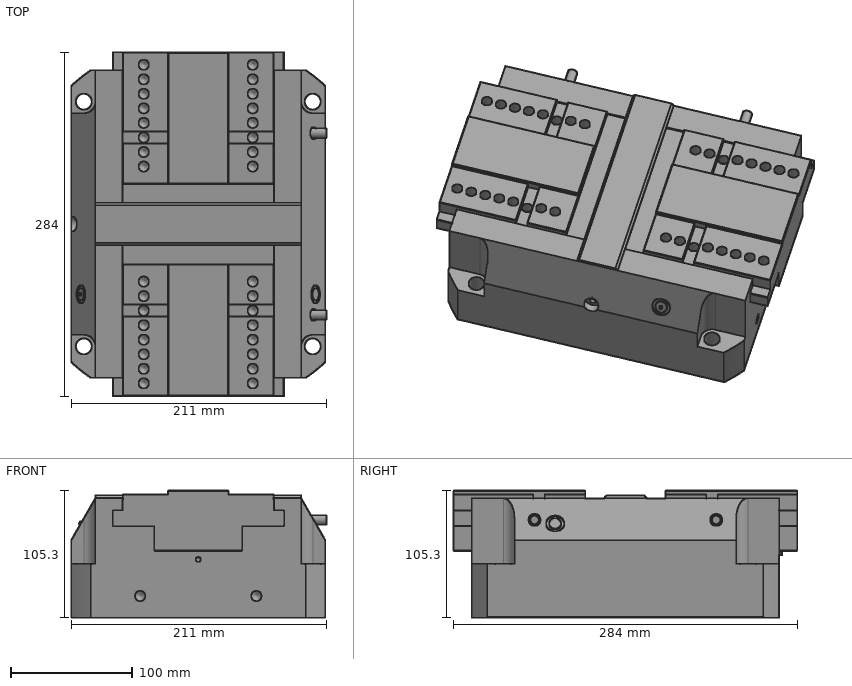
import cadquery as cq
import math


BODY_HALF_X = 105.0
BODY_HALF_Y = 127.0
TOP_HALF_X = 85.0
CORNER_RADIUS = 155.0
SLOPE_BOTTOM = 64.0
SLOPE_ANGLE = 30.0
SLOPE = math.radians(SLOPE_ANGLE)
BODY_TOP = SLOPE_BOTTOM + (BODY_HALF_X - TOP_HALF_X) / math.tan(SLOPE)
BASE_CHAMFER = 0.8
OVERSHOOT = 10.0

SHELF_TOP = 44.6
MOUNT_X = 94.5
MOUNT_Y = 101.0
MOUNT_DIA = 13.0
SHELF_CLEARANCE_RADIUS = MOUNT_X - TOP_HALF_X

BAR_TOP = 101.2
BAR_HALF_WIDTH = 17.5
BAR_BEVEL = 2.0

JAW_INNER_Y = 33.0
JAW_OUTER_Y = 142.0
JAW_LENGTH = JAW_OUTER_Y - JAW_INNER_Y
JAW_TOP = 102.2
JAW_BOTTOM = 55.0
NECK_HALF = 62.3
FLANGE_HALF = 70.8
FLANGE_TOP = 88.7
FLANGE_BOTTOM = 75.6
STEM_HALF = 36.2
JAW_CHAMFER = 0.5
JAW_BOTTOM_CHAMFER = 0.8
SLIDE_GAP = 0.5

STRIP_HALF = 25.0
STRIP_TOP = 105.3
STRIP_BOTTOM = 96.5
STRIP_CHAMFER = 0.8

FLOOR = 97.8

ROW_X = 45.0
ROW_FIRST_Y = 47.5
ROW_PITCH = 12.0
ROW_COUNT = 8
NOTCH_Y = ROW_FIRST_Y + 2 * ROW_PITCH
NOTCH_WIDTH = 9.5
TAP_DIA = 8.5
TAP_DEPTH = 16.0
DRILL_POINT_ANGLE = 118.0

FRONT_TAP_X = 48.0
FRONT_TAP_Z = 18.0
FRONT_PORT_Z = 48.2
FRONT_PORT_DIA = 4.2
FRONT_PORT_DEPTH = 10.0

SIDE_PORT_Z = 66.2
SIDE_PORT_DIA = 12.0
SIDE_PORT_DEPTH = 6.0
SIDE_PORT_CORE_DIA = 5.0
SIDE_PORT_CORE_DEPTH = 14.0

PLUG_Y = -58.0
PLUG_Z = 78.0
PLUG_RECESS_DIA = 15.0
PLUG_DIA = 10.0
PLUG_RECESS_DEPTH = 1.5
NIPPLE_DIA = 2.5
NIPPLE_HEIGHT = 1.2

PIN_Y = 75.0
PIN_Z = 80.8
PIN_DIA = 8.0
PIN_BORE_DIA = 10.0
PIN_END_X = 106.0
PIN_BORE_BOTTOM_X = 88.0
PIN_CHAMFER = 0.5

FITTING_X = -48.0
FITTING_Z = 57.6
FITTING_ACROSS_CORNERS = 11.6
FITTING_HEIGHT = 2.7
FITTING_TIP_DIA = 5.0
FITTING_TIP_HEIGHT = 1.2


def box(x_min, x_max, y_min, y_max, z_min, z_max):
    """Box given by its limits along each axis."""
    size = (x_max - x_min, y_max - y_min, z_max - z_min)
    return cq.Workplane("XY").box(*size, centered=False).translate((x_min, y_min, z_min))


def rod(start, direction, diameter, length):
    """Cylinder that starts at a point and runs along a direction."""
    solid = cq.Solid.makeCylinder(diameter / 2, length, cq.Vector(*start), cq.Vector(*direction))
    return cq.Workplane(solid)


def drilled_hole(start, direction, diameter, depth):
    """Cutter for a blind hole with a conical drill point."""
    radius = diameter / 2
    point_height = radius / math.tan(math.radians(DRILL_POINT_ANGLE / 2))
    axis = cq.Vector(*direction)
    tip_base = cq.Vector(*start) + axis * depth
    point = cq.Solid.makeCone(radius, 0, point_height, tip_base, axis)
    return rod(start, direction, diameter, depth).union(cq.Workplane(point))


def wall_x(z):
    """Distance of a leaning side wall from the middle plane at a height."""
    return BODY_HALF_X - (z - SLOPE_BOTTOM) * math.tan(SLOPE)


def make_block():
    """Block with leaning side walls and turned vertical corners."""
    base_half = BODY_HALF_X - BASE_CHAMFER
    right_side = [
        (base_half, 0),
        (BODY_HALF_X, BASE_CHAMFER),
        (BODY_HALF_X, SLOPE_BOTTOM),
        (TOP_HALF_X, BODY_TOP),
    ]
    left_side = [(-x, z) for x, z in reversed(right_side)]
    profile = cq.Workplane("XZ").polyline(right_side + left_side).close()
    block = profile.extrude(BODY_HALF_Y, both=True)
    return block.intersect(cq.Workplane("XY").circle(CORNER_RADIUS).extrude(BODY_TOP))


def cut_mounting_corner(body, side_x, side_y):
    """Step one corner down to a shelf and drill its mounting hole."""
    size_x = BODY_HALF_X + OVERSHOOT - TOP_HALF_X
    inner_y = MOUNT_Y - SHELF_CLEARANCE_RADIUS
    size_y = BODY_HALF_Y + OVERSHOOT - inner_y
    center = (
        side_x * (TOP_HALF_X + size_x / 2),
        side_y * (inner_y + size_y / 2),
    )
    pocket = (
        cq.Workplane("XY", origin=(*center, SHELF_TOP))
        .rect(size_x, size_y)
        .extrude(BODY_TOP)
        .edges("|Z")
        .fillet(SHELF_CLEARANCE_RADIUS)
    )
    hole = rod((side_x * MOUNT_X, side_y * MOUNT_Y, 0), (0, 0, 1), MOUNT_DIA, BODY_TOP)
    return body.cut(pocket).cut(hole)


def cut_jaw_channel(body):
    """Sink the floor between the jaws, leaving a gap beside the jaw necks."""
    half = NECK_HALF + SLIDE_GAP
    reach = BODY_HALF_Y + OVERSHOOT
    channel = box(-half, half, -reach, reach, FLANGE_TOP, BODY_TOP + OVERSHOOT)
    core = box(-NECK_HALF, NECK_HALF, -BODY_HALF_Y, BODY_HALF_Y, FLANGE_TOP, FLOOR)
    return body.cut(channel).union(core)


def make_cross_bar():
    """Bevelled bar that bridges the body between the two jaws."""
    bevel_half = BAR_HALF_WIDTH - BAR_BEVEL
    bevel_bottom = BAR_TOP - BAR_BEVEL
    outline = [
        (-BAR_HALF_WIDTH, FLANGE_TOP),
        (BAR_HALF_WIDTH, FLANGE_TOP),
        (BAR_HALF_WIDTH, bevel_bottom),
        (bevel_half, BAR_TOP),
        (-bevel_half, BAR_TOP),
        (-BAR_HALF_WIDTH, bevel_bottom),
    ]
    return cq.Workplane("YZ").polyline(outline).close().extrude(TOP_HALF_X, both=True)


def make_jaw(side_y):
    """T-shaped jaw with raised strip, notches and two tapped rows."""
    right_side = [
        (STEM_HALF, JAW_BOTTOM),
        (STEM_HALF, FLANGE_BOTTOM),
        (FLANGE_HALF, FLANGE_BOTTOM),
        (FLANGE_HALF, FLANGE_TOP),
        (NECK_HALF, FLANGE_TOP),
        (NECK_HALF, JAW_TOP),
    ]
    left_side = [(-x, z) for x, z in reversed(right_side)]
    section = cq.Workplane("XZ", origin=(0, JAW_OUTER_Y, 0)).polyline(right_side + left_side)
    jaw = section.close().extrude(JAW_LENGTH)
    for side_x in (-1, 1):
        notch = (
            cq.Workplane("XY", origin=(side_x * NECK_HALF, NOTCH_Y, FLOOR))
            .rect(2 * (NECK_HALF - STRIP_HALF), NOTCH_WIDTH)
            .extrude(JAW_TOP)
        )
        jaw = jaw.cut(notch)
    jaw = jaw.faces(">Z").chamfer(JAW_CHAMFER)
    jaw = jaw.faces("<X or >X").edges("|Y").chamfer(JAW_CHAMFER)
    jaw = jaw.faces("<Z").chamfer(JAW_BOTTOM_CHAMFER)

    strip = box(-STRIP_HALF, STRIP_HALF, JAW_INNER_Y, JAW_OUTER_Y, STRIP_BOTTOM, STRIP_TOP)
    jaw = jaw.union(strip.faces(">Z").chamfer(STRIP_CHAMFER))
    return jaw if side_y > 0 else jaw.mirror("XZ")


def cut_tapped_rows(body, side_y):
    """Drill the two rows of tapped holes of one jaw."""
    for index in range(ROW_COUNT):
        y = side_y * (ROW_FIRST_Y + index * ROW_PITCH)
        for x in (-ROW_X, ROW_X):
            body = body.cut(drilled_hole((x, y, JAW_TOP), (0, 0, -1), TAP_DIA, TAP_DEPTH))
    return body


def cut_front_holes(body):
    """Two tapped holes and a small port in the -Y face."""
    inward = (0, 1, 0)
    for x in (-FRONT_TAP_X, FRONT_TAP_X):
        tap = drilled_hole((x, -BODY_HALF_Y, FRONT_TAP_Z), inward, TAP_DIA, TAP_DEPTH)
        body = body.cut(tap)
    port_start = (0, -BODY_HALF_Y, FRONT_PORT_Z)
    return body.cut(drilled_hole(port_start, inward, FRONT_PORT_DIA, FRONT_PORT_DEPTH))


def cut_side_port(body):
    """Counterbored port in the middle of the -X wall."""
    start = (-BODY_HALF_X, 0, SIDE_PORT_Z)
    inward = (1, 0, 0)
    bore = rod(start, inward, SIDE_PORT_DIA, SIDE_PORT_DEPTH)
    core = drilled_hole(start, inward, SIDE_PORT_CORE_DIA, SIDE_PORT_CORE_DEPTH)
    return body.cut(bore).cut(core)


def add_wall_plug(body, side_x):
    """Plug in a ring recess square to a leaning wall, with a nipple on the -X side."""
    center = cq.Vector(side_x * wall_x(PLUG_Z), PLUG_Y, PLUG_Z)
    inward = cq.Vector(-side_x * math.cos(SLOPE), 0, -math.sin(SLOPE))
    recess = rod(center.toTuple(), inward.toTuple(), PLUG_RECESS_DIA, PLUG_RECESS_DEPTH)
    plug = rod(center.toTuple(), inward.toTuple(), PLUG_DIA, PLUG_RECESS_DEPTH)
    body = body.cut(recess.cut(plug))
    if side_x < 0:
        nipple = rod(center.toTuple(), (-inward).toTuple(), NIPPLE_DIA, NIPPLE_HEIGHT)
        body = body.union(nipple)
    return body


def add_side_pin(body, y):
    """Pin along X standing in a wider bore of the +X wall."""
    start = (PIN_BORE_BOTTOM_X, y, PIN_Z)
    length = PIN_END_X - PIN_BORE_BOTTOM_X
    bore = rod(start, (1, 0, 0), PIN_BORE_DIA, length)
    pin = rod(start, (1, 0, 0), PIN_DIA, length).faces(">X").chamfer(PIN_CHAMFER)
    return body.cut(bore).union(pin)


def make_back_fitting():
    """Hexagonal fitting with a round tip on the +Y face."""
    center = (FITTING_X, BODY_HALF_Y, FITTING_Z)
    hexagon = (
        cq.Workplane("XZ", origin=center)
        .transformed(rotate=(0, 0, 90))
        .polygon(6, FITTING_ACROSS_CORNERS)
        .extrude(-FITTING_HEIGHT)
    )
    tip = rod(center, (0, 1, 0), FITTING_TIP_DIA, FITTING_HEIGHT + FITTING_TIP_HEIGHT)
    return hexagon.union(tip)


def make_part():
    """Body, bar, jaws and fittings joined into one solid."""
    part = make_block()
    for side_x in (-1, 1):
        for side_y in (-1, 1):
            part = cut_mounting_corner(part, side_x, side_y)
    part = cut_jaw_channel(part).union(make_cross_bar())
    for side_y in (-1, 1):
        part = part.union(make_jaw(side_y))
        part = cut_tapped_rows(part, side_y)
    part = cut_front_holes(part)
    part = cut_side_port(part)
    for side_x in (-1, 1):
        part = add_wall_plug(part, side_x)
    for y in (-PIN_Y, PIN_Y):
        part = add_side_pin(part, y)
    return part.union(make_back_fitting())


result = make_part()